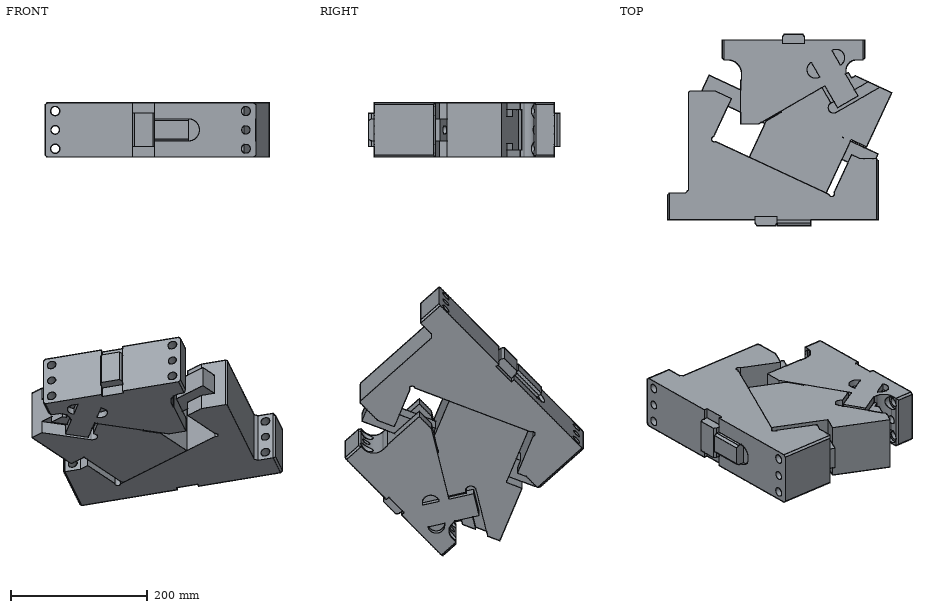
import cadquery as cq
import math

thickness = 80.0
big = 659.5
clearance = 5.0

base_length = 310.0
base_foot_height = 40.0
base_wall_x = 30.7
base_left_height = 189.5
base_right_height = 90.0
foot_corner_chamfer = 4.3
wall_corner_chamfer = 2.0

slope_angle = 25.0
channel_corner = (65.5, 117.7)
channel_length = 195.0
channel_depth = 67.0
relief_radius = 4.0
relief_offset = 3.3

bar_start = -44.5
bar_end = 230.0
bar_bottom = 54.5
bar_top = 84.5
bar_width = 32.5

slider_start = 60.0
slider_width = 125.0
slider_overhang = 25.0
slider_ledge_height = 86.5
slider_height = 174.5

upper_left = 80.0
upper_length = 209.7
upper_top = 264.8
upper_flange_height = 29.7
neck_left = 108.5
neck_right = 262.5
left_fillet = 20.0
right_fillet = 15.2
neck_step = 1.0
neck_step_height = 205.5
upper_bottom = 140.8

contact_angle = 30.0
claw_corner = (231.2, 197.2)
claw_width = 35.0
claw_length = 37.3
claw_thickness = 10.2
toe_depth = 10.0
head_thickness = 26.7
pocket_relief_radius = 8.0
claw_recess_radius = 12.5
claw_recess_offset = 27.5
contact_recess_depth = 1.5
contact_recess_end = -74.2
shoulder_depth = 9.5

key_width = 32.5
key_length = 49.5
key_height = 8.5
keyway_depth = 5.3
bevel_width = 2.5
bevel_drop = 4.3
base_key_x = 144.8
pad_length = 49.5
pad_width = 32.5

base_hole_inset = 15.0
upper_hole_inset = 12.5
hole_pitch = 27.7
outer_hole_diameter = 13.2
middle_hole_diameter = 12.2
counterbore_diameter = 20.0
counterbore_depth = 5.0
edge_chamfer = 3.0

half_thickness = thickness / 2
upper_right = upper_left + upper_length
upper_flange_y = upper_top - upper_flange_height
upper_key_x = (upper_left + upper_right) / 2
claw_under = half_thickness - claw_thickness
toe_under = claw_under - toe_depth


def channel_point(u, v):
    """Point at u along the channel floor and v square to it."""
    angle = math.radians(slope_angle)
    x = channel_corner[0] + u * math.cos(angle) + v * math.sin(angle)
    y = channel_corner[1] - u * math.sin(angle) + v * math.cos(angle)
    return (x, y)


def claw_point(p, q):
    """Point at p along the contact plane and q below it, along the claw."""
    angle = math.radians(contact_angle)
    x = claw_corner[0] + p * math.cos(angle) + q * math.sin(angle)
    y = claw_corner[1] + p * math.sin(angle) - q * math.cos(angle)
    return (x, y)


def prism(points, z_low=-half_thickness, z_high=half_thickness):
    """Closed outline extruded between two Z levels."""
    return cq.Workplane("XY").workplane(offset=z_low).polyline(points).close().extrude(z_high - z_low)


def cylinder(center, radius, z_low=-half_thickness, z_high=half_thickness):
    """Upright cylinder between two Z levels."""
    return cq.Workplane("XY").workplane(offset=z_low).center(*center).circle(radius).extrude(z_high - z_low)


def claw_box(p_low, p_high, q_low, q_high, z_low=-half_thickness, z_high=half_thickness):
    """Block whose sides follow the contact plane."""
    corners = [(p_low, q_low), (p_high, q_low), (p_high, q_high), (p_low, q_high)]
    return prism([claw_point(p, q) for p, q in corners], z_low, z_high)


def channel_box(u_low, u_high, v_low, v_high, z_low=-half_thickness, z_high=half_thickness):
    """Block whose sides follow the channel."""
    corners = [(u_low, v_low), (u_high, v_low), (u_high, v_high), (u_low, v_high)]
    return prism([channel_point(u, v) for u, v in corners], z_low, z_high)


def both_sides(solid):
    """A feature near the +Z side with its mirror image near the -Z side."""
    return solid.union(solid.mirror("XY"))


def flange_cylinder(x, z, diameter, y_low, y_high):
    """Cylinder along Y for the flange holes."""
    plane = cq.Plane(origin=(x, y_low, z), xDir=(1, 0, 0), normal=(0, 1, 0))
    return cq.Workplane(plane).circle(diameter / 2).extrude(y_high - y_low)


def drill_flange(body, x, y_low, y_high):
    """Column of three holes: two screw holes and a dowel hole between them."""
    for z, diameter in (
        (-hole_pitch, outer_hole_diameter),
        (0, middle_hole_diameter),
        (hole_pitch, outer_hole_diameter),
    ):
        body = body.cut(flange_cylinder(x, z, diameter, y_low, y_high))
    return body


def bevelled_profile(width):
    """Section of a key or pad: across its width, and up from the face it sits in."""
    half = width / 2
    return [
        (-half, -keyway_depth),
        (half, -keyway_depth),
        (half, key_height - bevel_drop),
        (half - bevel_width, key_height),
        (bevel_width - half, key_height),
        (-half, key_height - bevel_drop),
    ]


def add_key(body, x, face_y, outward):
    """Cut a keyway across a face and seat a bevelled key in it; outward is +1 or -1 along Y."""
    keyway = cq.Workplane("XY").box(key_width, 2 * keyway_depth, thickness).translate((x, face_y, 0))
    profile = [(x + across, face_y + outward * up) for across, up in bevelled_profile(key_width)]
    key = prism(profile, -key_length / 2, key_length / 2)
    return body.cut(keyway).union(key)


def make_bar():
    """Retaining bar that spans both channel walls."""
    return channel_box(bar_start, bar_end, bar_bottom, bar_top, -bar_width / 2, bar_width / 2)


def add_pad(body):
    """Bevelled pad beside the base key, in a slot with one round end."""
    start_x = base_key_x + key_width / 2
    end_x = start_x + pad_length
    slot_end = cq.Workplane("XZ").center(end_x, 0).circle(pad_width / 2).extrude(-keyway_depth)
    profile = [(-up, across) for across, up in bevelled_profile(pad_width)]
    pad = cq.Workplane("YZ").workplane(offset=start_x).polyline(profile).close().extrude(pad_length)
    return body.cut(slot_end).union(pad)


def make_base():
    """Base with the sloping channel, its retaining bar, key and pad."""
    left_tip = channel_point(0, channel_depth)
    right_tip = channel_point(channel_length, channel_depth)
    slope = math.tan(math.radians(slope_angle))
    outline = [
        (0, 0),
        (base_length, 0),
        (base_length, base_right_height),
        (right_tip[0] + (right_tip[1] - base_right_height) / slope, base_right_height),
        right_tip,
        channel_point(channel_length, 0),
        channel_corner,
        left_tip,
        (left_tip[0] - (base_left_height - left_tip[1]) / slope, base_left_height),
        (base_wall_x + wall_corner_chamfer, base_left_height),
        (base_wall_x, base_left_height - wall_corner_chamfer),
        (base_wall_x, base_foot_height + foot_corner_chamfer),
        (base_wall_x - foot_corner_chamfer, base_foot_height),
        (0, base_foot_height),
    ]
    body = prism(outline)
    for end in ("<X", ">X"):
        body = body.faces(end).edges("|Y or >Y").chamfer(edge_chamfer)

    reach = relief_offset / math.sqrt(2)
    for u in (reach, channel_length - reach):
        body = body.cut(cylinder(channel_point(u, reach), relief_radius))

    body = body.union(make_bar())
    body = drill_flange(body, base_hole_inset, 0, base_foot_height)
    body = drill_flange(body, base_length - base_hole_inset, 0, big)
    body = add_key(body, base_key_x, 0, -1)
    return add_pad(body)


def make_claw_pocket():
    """Room for one claw near +Z: open above the head, and undercut behind it."""
    floor = claw_length + clearance
    relief_center = claw_point(-clearance, floor - pocket_relief_radius)
    above_head = claw_box(-clearance, big, -big, floor, claw_under, half_thickness)
    undercut = claw_box(-clearance, big, head_thickness, floor, toe_under, half_thickness)
    relief = cylinder(relief_center, pocket_relief_radius, toe_under, half_thickness)
    return above_head.union(undercut).union(relief)


def make_slider():
    """Slider with a sloping contact face, claw pockets and an opening for the bar."""
    slider_end = slider_start + slider_width
    outline = [
        (slider_start, 0),
        (slider_end, 0),
        (slider_end, slider_ledge_height),
        (slider_end + slider_overhang, slider_ledge_height),
        (slider_end + slider_overhang, slider_height),
        (slider_start, slider_height),
    ]
    body = prism([channel_point(u, v) for u, v in outline])
    body = body.cut(claw_box(-big, big, -big, 0))
    body = body.cut(claw_box(-big, contact_recess_end, -big, contact_recess_depth))
    body = body.cut(claw_box(claw_width + clearance, big, -big, shoulder_depth))
    body = body.cut(both_sides(make_claw_pocket()))
    return body.cut(make_bar())


def make_claw():
    """Hooked claw near +Z: a plate along the contact side with a toe at its end."""
    plate = claw_box(0, claw_width, 0, claw_length, claw_under, half_thickness)
    toe = claw_box(0, claw_width, head_thickness, claw_length, toe_under, half_thickness)
    return plate.union(toe)


def make_claw_recess():
    """Half-round recesses on the two sides of the claw plate near +Z."""
    recess = None
    for p, outer_low, outer_high in ((0, -big, 0), (claw_width, claw_width, big)):
        disc = cylinder(claw_point(p, -claw_recess_offset), claw_recess_radius, claw_under, half_thickness)
        half = disc.intersect(claw_box(outer_low, outer_high, -big, big, claw_under, half_thickness))
        recess = half if recess is None else recess.union(half)
    return recess


def make_upper():
    """Upper plate with flange, rounded neck, claws and key."""
    neck_low = neck_left - neck_step
    contact_slope = math.tan(math.radians(contact_angle))
    bottom_end = claw_corner[0] - (claw_corner[1] - upper_bottom) / contact_slope
    contact_end = claw_corner[1] + (neck_right - claw_corner[0]) * contact_slope
    diagonal = 1 - math.sqrt(0.5)
    body = (
        cq.Workplane("XY")
        .workplane(offset=-half_thickness)
        .moveTo(upper_left, upper_top)
        .lineTo(upper_left, upper_flange_y)
        .lineTo(neck_left - left_fillet, upper_flange_y)
        .threePointArc(
            (neck_left - left_fillet * diagonal, upper_flange_y - left_fillet * diagonal),
            (neck_left, upper_flange_y - left_fillet),
        )
        .lineTo(neck_left, neck_step_height)
        .lineTo(neck_low, neck_step_height)
        .lineTo(neck_low, upper_bottom)
        .lineTo(bottom_end, upper_bottom)
        .lineTo(neck_right, contact_end)
        .lineTo(neck_right, upper_flange_y - right_fillet)
        .threePointArc(
            (neck_right + right_fillet * diagonal, upper_flange_y - right_fillet * diagonal),
            (neck_right + right_fillet, upper_flange_y),
        )
        .lineTo(upper_right, upper_flange_y)
        .lineTo(upper_right, upper_top)
        .close()
        .extrude(thickness)
    )
    for end in ("<X", ">X"):
        body = body.faces(end).edges("|Y or <Y").chamfer(edge_chamfer)

    seat_y = upper_flange_y + counterbore_depth
    for x in (upper_left + upper_hole_inset, upper_right - upper_hole_inset):
        body = drill_flange(body, x, upper_flange_y - left_fillet, upper_top)
        for z in (-hole_pitch, hole_pitch):
            body = body.cut(flange_cylinder(x, z, counterbore_diameter, upper_flange_y - left_fillet, seat_y))

    body = body.cut(both_sides(make_claw_recess())).union(both_sides(make_claw()))
    body = add_key(body, upper_key_x, upper_top, 1)

    bar_slot = channel_box(bar_start, bar_end, -big, bar_top, -bar_width / 2, bar_width / 2)
    return body.cut(bar_slot)


base = make_base()
slider = make_slider()
upper = make_upper()

result = cq.Compound.makeCompound([base.solids().val(), slider.solids().val(), upper.solids().val()])